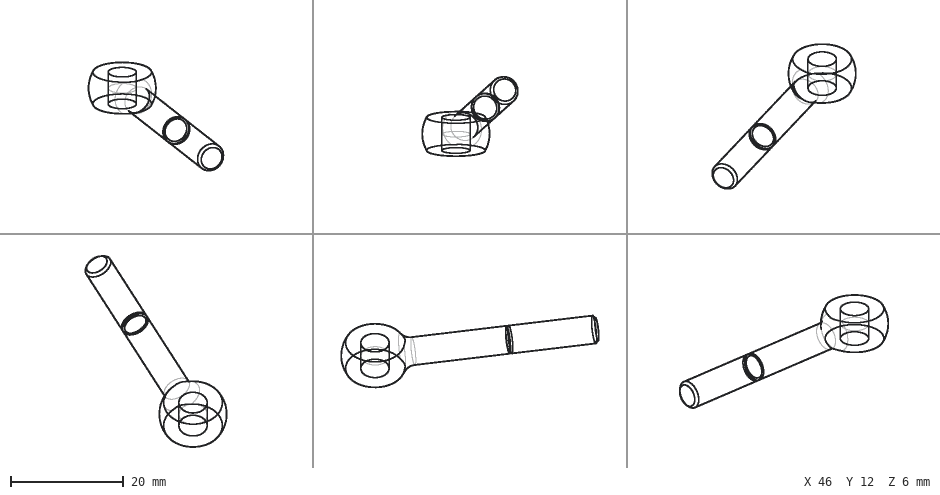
import cadquery as cq
import math

total_length = 46.0
ball_diameter = 12.0
eye_height = 6.0
bore_diameter = 5.0
shank_diameter = 5.0
neck_fillet_radius = 2.5
thread_length = 16.0
groove_width = 0.4
groove_depth = 0.4
tip_chamfer = 0.5

ball_radius = ball_diameter / 2
shank_radius = shank_diameter / 2
tip_x = total_length - ball_radius
groove_x = tip_x - thread_length

fillet_center_distance = ball_radius + neck_fillet_radius
fillet_center_r = shank_radius + neck_fillet_radius
fillet_center_x = math.sqrt(fillet_center_distance**2 - fillet_center_r**2)
ball_share = ball_radius / fillet_center_distance
ball_tangent = (fillet_center_x * ball_share, fillet_center_r * ball_share)

ball_direction = math.atan2(-fillet_center_r, -fillet_center_x)
shank_direction = -math.pi / 2
middle_direction = (ball_direction + shank_direction) / 2
fillet_middle = (
    fillet_center_x + neck_fillet_radius * math.cos(middle_direction),
    fillet_center_r + neck_fillet_radius * math.sin(middle_direction),
)


def turned_body():
    """Ball, filleted neck and shank as one solid of revolution about X."""
    profile = (
        cq.Workplane("XY")
        .moveTo(-ball_radius, 0)
        .threePointArc((0, ball_radius), ball_tangent)
        .threePointArc(fillet_middle, (fillet_center_x, shank_radius))
        .lineTo(groove_x, shank_radius)
        .lineTo(groove_x, shank_radius - groove_depth)
        .lineTo(groove_x + groove_width, shank_radius)
        .lineTo(tip_x - tip_chamfer, shank_radius)
        .lineTo(tip_x, shank_radius - tip_chamfer)
        .lineTo(tip_x, 0)
        .close()
    )
    return profile.revolve(360, (0, 0, 0), (1, 0, 0))


def eye_slab():
    """Slab that leaves the ball with flat top and bottom faces."""
    return cq.Workplane("XY").box(2 * total_length, 2 * ball_diameter, eye_height)


def eye_bore():
    """Through hole along Z at the ball centre."""
    return cq.Workplane("XY").circle(bore_diameter / 2).extrude(eye_height, both=True)


result = turned_body().intersect(eye_slab()).cut(eye_bore())